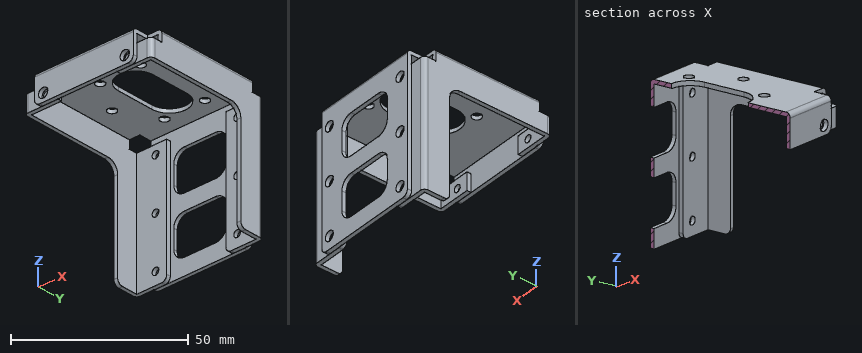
import cadquery as cq

thickness = 1.5
bend_radius = thickness

width = 48.6
depth = 50.0
height = 50.7

flap_width = 37.8
flange_height = 11.0
side_leg_width = 11.0
side_top_length = 38.0
tab_length = 13.0
corner_radius = 2.0
inner_corner_radius = 4.0
relief_height = 3.0

nesting_clearance = 0.05
tab_outer_depth = depth - 2 * (thickness + nesting_clearance)
tab_top = thickness + relief_height

screw_spacing_x = 31.2
screw_first_drop = 7.9
screw_pitch = 19.05
back_screw_rows = 3
tapped_diameter = 2.53
clearance_diameter = 3.5

motor_y = 3.7
motor_hole_count = 6
motor_hole_circle_radius = 15.5
motor_hole_diameter = 3.2
slot_width = 13.2
slot_length = 27.2

window_width = 20.0
window_height = 15.0
window_radius = 4.0
window_drops = (8.45, 29.45)


def block(size_x, size_y, top_drop, bottom_drop):
    """Box centred on X and Y, spanning two depths below the top face."""
    return cq.Workplane("XY").box(
        size_x, size_y, bottom_drop - top_drop, centered=(True, True, False)
    ).translate((0, 0, -bottom_drop))


def rounded_flap(y_inner, bottom_drop):
    """Vertical plate outline with rounded lower corners, one sheet thick from y_inner toward +Y."""
    plate = block(flap_width, thickness, 0, bottom_drop)
    plate = plate.edges("|Y and <Z").fillet(corner_radius)
    return plate.translate((0, y_inner + thickness / 2, 0))


def make_center_strip():
    """Top plate folded down into the short front flap and the tall back plate."""
    strip = block(flap_width, depth, 0, thickness)
    strip = strip.union(rounded_flap(-depth / 2, flange_height))
    strip = strip.union(rounded_flap(depth / 2 - thickness, height))
    return strip.edges("|X and >Z").fillet(bend_radius)


def make_side_bends():
    """Top plate folded down on both sides, as far as the top of the inward tabs."""
    channel = block(width, side_top_length, 0, tab_top).edges("|Y and >Z").fillet(bend_radius)
    return channel.cut(block(width - 2 * thickness, side_top_length, thickness, tab_top))


def make_side_walls():
    """L-shaped side walls with tabs folded inward at their front and back ends."""
    walls = block(width, tab_outer_depth, tab_top, height).edges("|Z").fillet(bend_radius)
    walls = walls.cut(block(width - 2 * thickness, tab_outer_depth - 2 * thickness, tab_top, height))

    tab_zone = block(tab_length, depth, tab_top, height)
    side_zone = tab_zone.edges("|Y and <X and <Z").fillet(corner_radius)
    side_zone = side_zone.translate(((width - tab_length) / 2, 0, 0))
    walls = walls.intersect(side_zone.union(side_zone.mirror("YZ")))

    leg_front = depth / 2 - side_leg_width
    outline = (
        cq.Workplane("YZ")
        .moveTo(-depth / 2, -tab_top)
        .lineTo(depth / 2, -tab_top)
        .lineTo(depth / 2, -height)
        .lineTo(leg_front + corner_radius, -height)
        .radiusArc((leg_front, -height + corner_radius), corner_radius)
        .lineTo(leg_front, -flange_height - inner_corner_radius)
        .radiusArc((leg_front - inner_corner_radius, -flange_height), -inner_corner_radius)
        .lineTo(-depth / 2, -flange_height)
        .close()
        .extrude(width / 2, both=True)
    )
    return walls.intersect(outline)


def y_cylinders(diameter, drops, y_start, length):
    """Pairs of screw-hole cutters along +Y at the given depths below the top face."""
    points = [(side * screw_spacing_x / 2, -drop) for drop in drops for side in (-1, 1)]
    cutters = cq.Workplane("XZ").pushPoints(points).circle(diameter / 2).extrude(-length)
    return cutters.translate((0, y_start, 0))


def cut_screw_holes(body):
    """Tapped holes in the tabs, clearance holes in the flap and the back plate."""
    front_drops = [screw_first_drop]
    back_drops = [screw_first_drop + row * screw_pitch for row in range(back_screw_rows)]
    body = body.cut(y_cylinders(tapped_diameter, front_drops, -depth / 2, depth / 2))
    body = body.cut(y_cylinders(clearance_diameter, front_drops, -depth / 2, thickness))
    body = body.cut(y_cylinders(tapped_diameter, back_drops, 0, depth / 2))
    return body.cut(y_cylinders(clearance_diameter, back_drops, depth / 2 - thickness, thickness))


def cut_motor_mount(body):
    """Long slot and the ring of mounting holes around it in the top plate."""
    mount_plane = cq.Workplane("XY").center(0, motor_y)
    slot = mount_plane.slot2D(slot_length, slot_width, 90).extrude(-thickness)
    holes = (
        mount_plane
        .polarArray(motor_hole_circle_radius, 0, 360, motor_hole_count)
        .circle(motor_hole_diameter / 2)
        .extrude(-thickness)
    )
    return body.cut(slot).cut(holes)


def cut_windows(body):
    """Rounded rectangular windows through the back plate."""
    for drop in window_drops:
        window = block(window_width, thickness, drop, drop + window_height)
        window = window.edges("|Y").fillet(window_radius)
        body = body.cut(window.translate((0, (depth - thickness) / 2, 0)))
    return body


bracket = make_center_strip().union(make_side_bends()).union(make_side_walls())
bracket = cut_screw_holes(bracket)
bracket = cut_motor_mount(bracket)
result = cut_windows(bracket)